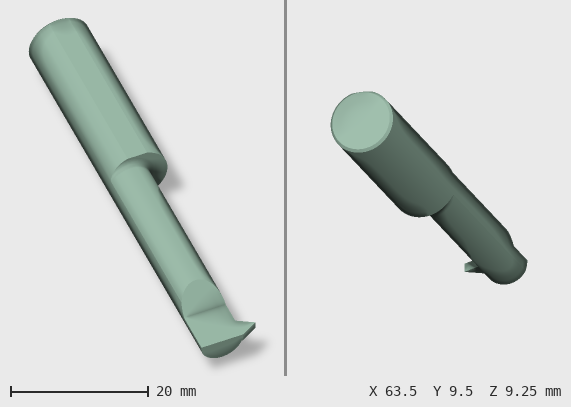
import cadquery as cq
import math

total_length = 63.5
shank_radius = 4.75
shank_length = 29.1
flat_height = 4.5
end_chamfer = 0.4

neck_radius = 3.35
neck_center_y = -1.5
neck_fillet = 0.75

face_height = 0.0
face_start = 57.15

tooth_height = 2.55
tooth_angle = 60.0
tooth_thickness = 1.3
tooth_overlap = 0.65


def make_shank():
    """Round shank with a chamfered rear end and a flat along its top."""
    profile = [
        (0, 0),
        (0, shank_radius - end_chamfer),
        (end_chamfer, shank_radius),
        (shank_length, shank_radius),
        (shank_length, 0),
    ]
    shank = cq.Workplane("XY").polyline(profile).close().revolve(360, (0, 0), (1, 0))
    above_flat = (
        cq.Workplane("XY", origin=(0, 0, flat_height))
        .rect(2 * shank_length, 2 * shank_radius)
        .extrude(shank_radius)
    )
    return shank.cut(above_flat)


def make_neck():
    """Neck flared by a fillet at the shank, kept inside the shank cylinder."""
    neck_length = total_length - shank_length
    flare_radius = neck_radius + neck_fillet
    arc_offset = neck_fillet * (1 - math.sqrt(0.5))
    neck = (
        cq.Workplane("XY", origin=(shank_length, neck_center_y, 0))
        .moveTo(0, 0)
        .lineTo(0, flare_radius)
        .threePointArc((arc_offset, neck_radius + arc_offset), (neck_fillet, neck_radius))
        .lineTo(neck_length, neck_radius)
        .lineTo(neck_length, 0)
        .close()
        .revolve(360, (0, 0), (1, 0))
    )
    envelope = cq.Workplane("YZ").circle(shank_radius).extrude(total_length)
    return neck.intersect(envelope)


def make_face_cut():
    """Material above the cutting face and its 45 degree ramp."""
    cut_height = 2 * shank_radius
    return (
        cq.Workplane("XZ")
        .moveTo(face_start, face_height)
        .lineTo(total_length, face_height)
        .lineTo(total_length, face_height + cut_height)
        .lineTo(face_start - cut_height, face_height + cut_height)
        .close()
        .extrude(shank_radius, both=True)
    )


def make_tooth():
    """Pointed tooth below the cutting face, with a root buried in the neck."""
    half_width = tooth_height * math.tan(math.radians(tooth_angle / 2))
    base_y = neck_center_y + neck_radius
    inner_x = total_length - 2 * half_width
    outline = [
        (inner_x, base_y - tooth_overlap),
        (inner_x, base_y),
        (total_length - half_width, base_y + tooth_height),
        (total_length, base_y),
        (total_length, base_y - tooth_overlap),
    ]
    return (
        cq.Workplane("XY", origin=(0, 0, face_height))
        .polyline(outline)
        .close()
        .extrude(-tooth_thickness)
    )


neck = make_neck().cut(make_face_cut())
result = make_shank().union(neck).union(make_tooth())